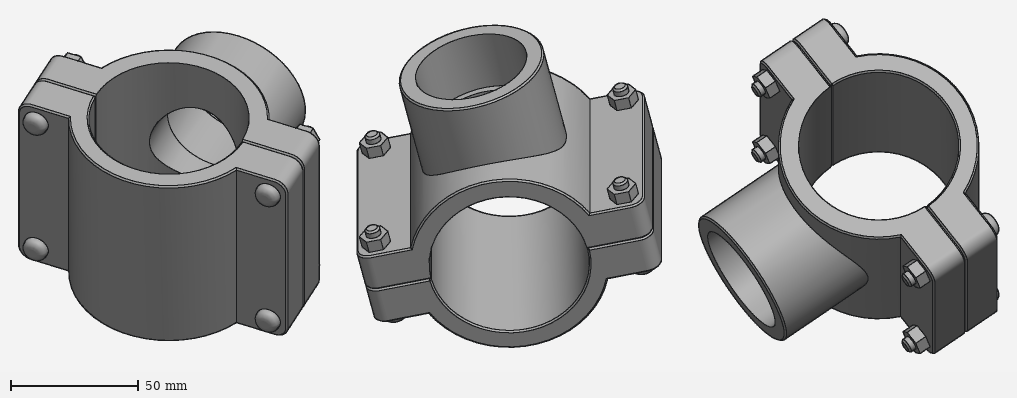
import cadquery as cq
import math

body_width = 116.0
body_depth = 106.4
body_height = 84.0
ring_diameter = 78.9
bore_diameter = 63.0
flange_thickness = 15.8
corner_radius = 5.7
edge_chamfer = 0.7

ring_radius = ring_diameter / 2
pipe_diameter = 58.3
pipe_end_y = body_depth - ring_radius
pipe_chamfer = 0.7
socket_diameter = 44.9
socket_depth = 24.8
port_diameter = 39.0

bolt_spacing_x = 100.0
bolt_spacing_z = 68.0
bolt_diameter = 6.0
bolt_tip_chamfer = 0.8
bolt_tip_length = 3.0
nut_across_flats = 10.0
nut_thickness = 4.9
head_diameter = 10.2
head_height = 4.0
head_rim_height = 1.2
head_flat_diameter = 4.1
dome_radius = 3.0


def plane_at_y(y):
    """Workplane at the given y whose normal points to +Y."""
    return cq.Workplane(cq.Plane((0, y, 0), xDir=(0, 0, 1), normal=(0, 1, 0)))


def cylinder_y(diameter, y_start, y_end):
    return plane_at_y(y_start).circle(diameter / 2).extrude(y_end - y_start)


def cylinder_z(diameter):
    """Cylinder on the Z axis over the full body height."""
    return cq.Workplane("XY", origin=(0, 0, -body_height / 2)).circle(diameter / 2).extrude(body_height)


def half_blank(side):
    """Clamp half without bore, on the +Y (side = 1) or -Y (side = -1) side of the split."""
    flange = (
        cq.Workplane("XY", origin=(0, side * flange_thickness / 2, 0))
        .box(body_width, flange_thickness, body_height)
        .edges("|Y")
        .fillet(corner_radius)
    )
    half_space = cq.Workplane("XY", origin=(0, side * ring_radius / 2, 0)).box(
        body_width, ring_radius, body_height
    )
    return flange.union(cylinder_z(ring_diameter).intersect(half_space))


def is_inner_corner(edge):
    """True for the vertical edges where the ring meets a flange face."""
    tolerance = 0.01
    corner_x = math.sqrt(ring_radius**2 - flange_thickness**2)
    center = edge.Center()
    return abs(abs(center.x) - corner_x) < tolerance and abs(center.z) < tolerance


def break_edges(half):
    """Chamfer every outside edge; the rounded corners and inner corners stay as they are."""
    outside_edges = half.edges("not(|Y)").filter(lambda edge: not is_inner_corner(edge))
    return outside_edges.chamfer(edge_chamfer)


def plain_half():
    return break_edges(half_blank(-1).cut(cylinder_z(bore_diameter)))


def branch_half():
    """Half with the branch pipe; its bores are cut last, so their rims stay sharp."""
    pipe = cylinder_y(pipe_diameter, 0, pipe_end_y).faces(">Y").edges().chamfer(pipe_chamfer)
    return (
        break_edges(half_blank(1))
        .union(pipe)
        .cut(cylinder_z(bore_diameter))
        .cut(cylinder_y(port_diameter, 0, pipe_end_y))
        .cut(cylinder_y(socket_diameter, pipe_end_y - socket_depth, pipe_end_y))
    )


def bolt_with_nut():
    """Domed bolt and hexagon nut on the Y axis, gripping both flanges."""
    nut_end_y = flange_thickness + nut_thickness
    shank = cylinder_y(bolt_diameter, -flange_thickness, nut_end_y + bolt_tip_length)
    shank = shank.faces(">Y").edges().chamfer(bolt_tip_chamfer)
    nut = (
        plane_at_y(flange_thickness)
        .polygon(6, nut_across_flats, circumscribed=True)
        .extrude(nut_thickness)
    )
    head_radius = head_diameter / 2
    rim_y = -flange_thickness - head_rim_height
    top_y = -flange_thickness - head_height
    head = (
        cq.Workplane("XY")
        .moveTo(0, -flange_thickness)
        .lineTo(head_radius, -flange_thickness)
        .lineTo(head_radius, rim_y)
        .radiusArc((head_flat_diameter / 2, top_y), dome_radius)
        .lineTo(0, top_y)
        .close()
        .revolve(360, (0, 0, 0), (0, 1, 0))
    )
    return shank.union(nut).union(head)


result = plain_half().union(branch_half())
for x_side in (-1, 1):
    for z_side in (-1, 1):
        bolt_place = (x_side * bolt_spacing_x / 2, 0, z_side * bolt_spacing_z / 2)
        result = result.union(bolt_with_nut().translate(bolt_place))